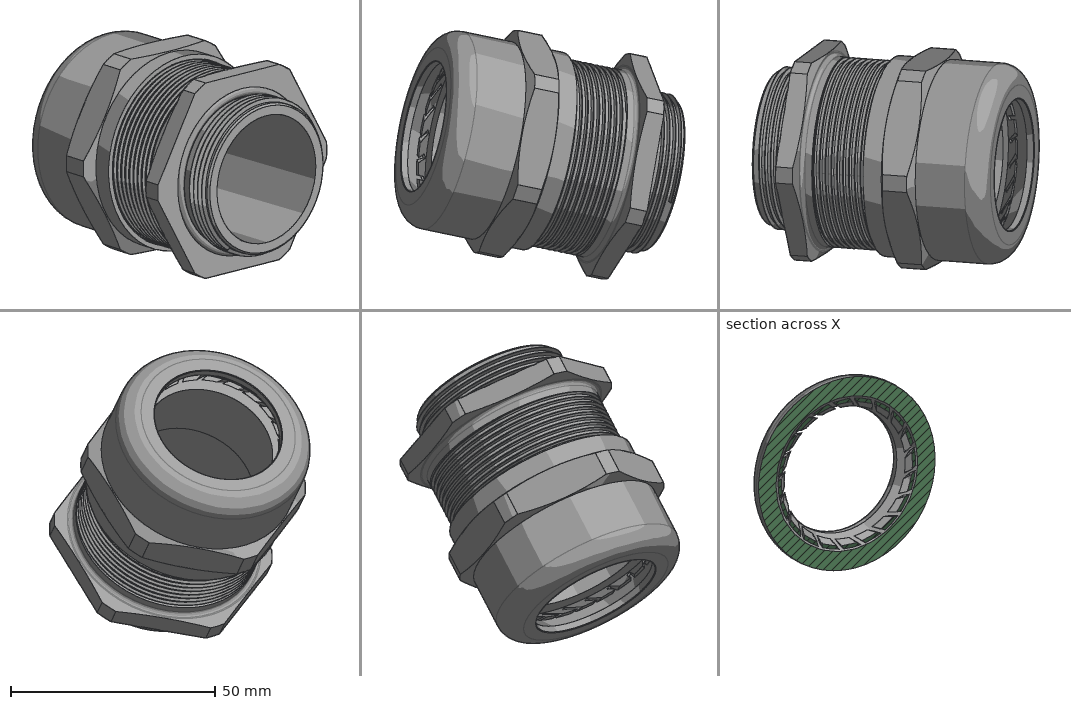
import cadquery as cq
import math


total_length = 61.5
bore_dia = 32.5

hex_across_flats = 50.0
hex_corner_dia = 55.55
hex_chamfer_start_dia = 49.45

cap_dia = 49.45
cap_length = 31.1
cap_front_round = 5.05
cap_hex_start = 17.7
cap_hex_end = 26.45
cap_hex_chamfer = 1.2

lip_end = 1.85
lip_edge_chamfer = 0.2
cap_cone_end = 8.0
cap_cavity_dia = 42.7
mouth_relief_dia = 47.05
mouth_relief_length = 1.7

spigot_start = 13.55
spigot_dia = 45.45
collar_start = 44.7
collar_dia = 46.8
collar_fillet = 1.0
flange_start = 47.5
flange_end = 52.65
flange_chamfer = 0.8
neck_dia = 38.15
end_chamfer = 0.5

ridge_base_width = 0.9
ridge_crest_width = 0.1
ridge_embed = 0.2
cap_thread_dia = 46.75
cap_thread_start = 30.25
cap_thread_length = 14.65
cap_thread_turns = 9.75
thread_pitch = cap_thread_length / cap_thread_turns
mounting_thread_dia = 40.0
mounting_thread_start = 54.45
mounting_thread_turns = 3.9

cage_dia = 42.45
cage_end = 24.6
cage_bore = 41.2
finger_front = 4.9
finger_tip_inner_dia = 33.8
finger_tip_outer_dia = 36.65
finger_root = 8.35
slot_count = 20
slot_width = 1.0
slot_skew = 45.0
slot_length = 6.15
seal_front = 8.0

o_ring_mean_dia = 40.35
o_ring_section_dia = o_ring_mean_dia - neck_dia
o_ring_x = 52.3


def revolve_about_x(outline):
    """Turn a closed (x, radius) outline around the X axis."""
    return outline.close().revolve(360, (0, 0, 0), (1, 0, 0))


def cylinder(start, end, diameter):
    return cq.Workplane("YZ").workplane(offset=start).circle(diameter / 2).extrude(end - start)


def hexagon(start, end, chamfer_length, chamfer_rear):
    """Hexagon with corners toward +Y and -Y, rounded off and cone-chamfered on its ends."""
    corner_to_corner = hex_across_flats / math.cos(math.radians(30))
    prism = cq.Workplane("YZ").workplane(offset=start).polygon(6, corner_to_corner).extrude(end - start)
    corner_radius = hex_corner_dia / 2
    chamfer_radius = hex_chamfer_start_dia / 2
    outline = (
        cq.Workplane("XY")
        .moveTo(start, 0)
        .lineTo(start, chamfer_radius)
        .lineTo(start + chamfer_length, corner_radius)
    )
    if chamfer_rear:
        outline = outline.lineTo(end - chamfer_length, corner_radius).lineTo(end, chamfer_radius)
    else:
        outline = outline.lineTo(end, corner_radius)
    return prism.intersect(revolve_about_x(outline.lineTo(end, 0)))


def thread_ridge(root_dia, crest_dia, start, turns):
    """Right-handed helical ridge that begins at the -Z side, its foot sunk into the root cylinder."""
    foot_radius = root_dia / 2 - ridge_embed
    crest_radius = crest_dia / 2
    helix = cq.Wire.makeHelix(thread_pitch, thread_pitch * turns, foot_radius)
    ridge = (
        cq.Workplane("XZ")
        .moveTo(foot_radius, -ridge_base_width / 2)
        .lineTo(crest_radius, -ridge_crest_width / 2)
        .lineTo(crest_radius, ridge_crest_width / 2)
        .lineTo(foot_radius, ridge_base_width / 2)
        .close()
        .sweep(cq.Workplane(helix), isFrenet=True)
    )
    return ridge.rotate((0, 0, 0), (0, 1, 0), 90).translate((start, 0, 0))


def make_cap_nut():
    dome = cylinder(0, cap_length, cap_dia).faces("<X").edges().fillet(cap_front_round)
    outside = dome.union(hexagon(cap_hex_start, cap_hex_end, cap_hex_chamfer, chamfer_rear=True))
    lip_radius = bore_dia / 2
    relief_start = cap_length - mouth_relief_length
    cavity = revolve_about_x(
        cq.Workplane("XY")
        .moveTo(0, 0)
        .lineTo(0, lip_radius + lip_edge_chamfer)
        .lineTo(lip_edge_chamfer, lip_radius)
        .lineTo(lip_end, lip_radius)
        .lineTo(cap_cone_end, cap_cavity_dia / 2)
        .lineTo(spigot_start, cap_cavity_dia / 2)
        .lineTo(spigot_start, spigot_dia / 2)
        .lineTo(relief_start, spigot_dia / 2)
        .lineTo(relief_start, mouth_relief_dia / 2)
        .lineTo(cap_length, mouth_relief_dia / 2)
        .lineTo(cap_length, 0)
    )
    return outside.cut(cavity)


def make_o_ring():
    """Ring around the neck, also the shape of its groove in the rear face of the flange."""
    ring = cq.Solid.makeTorus(
        o_ring_mean_dia / 2, o_ring_section_dia / 2, cq.Vector(o_ring_x, 0, 0), cq.Vector(1, 0, 0)
    )
    return cq.Workplane(ring)


def make_threaded_spigot():
    """Front of the body, whose ridge runs from inside the cap nut into the collar."""
    spigot = cylinder(spigot_start, flange_start, spigot_dia)
    return spigot.union(thread_ridge(spigot_dia, cap_thread_dia, cap_thread_start, cap_thread_turns))


def make_threaded_neck():
    """Rear of the body, which screws into the panel."""
    neck = cylinder(flange_start, total_length, neck_dia).faces(">X").edges().chamfer(end_chamfer)
    return neck.union(
        thread_ridge(neck_dia, mounting_thread_dia, mounting_thread_start, mounting_thread_turns)
    )


def make_collar():
    """Plain collar that flares in a concave round into the face of the hexagon."""
    collar_radius = collar_dia / 2
    flare_start = flange_start - collar_fillet
    flare_radius = collar_radius + collar_fillet
    flare_middle = collar_fillet * math.sin(math.radians(45))
    return revolve_about_x(
        cq.Workplane("XY")
        .moveTo(collar_start, 0)
        .lineTo(collar_start, collar_radius)
        .lineTo(flare_start, collar_radius)
        .threePointArc(
            (flare_start + flare_middle, flare_radius - flare_middle),
            (flange_start, flare_radius),
        )
        .lineTo(flange_end, flare_radius)
        .lineTo(flange_end, 0)
    )


def make_gland_body():
    body = make_threaded_spigot().union(make_collar())
    body = body.union(hexagon(flange_start, flange_end, flange_chamfer, chamfer_rear=False))
    body = body.union(make_threaded_neck())
    body = body.cut(cylinder(spigot_start, total_length, bore_dia))
    body = body.cut(cylinder(spigot_start, cage_end, cage_dia))
    return body.cut(make_o_ring())


def make_clamping_cage():
    """Sleeve around the seal whose front closes in as a cone of skewed fingers."""
    cage = revolve_about_x(
        cq.Workplane("XY")
        .moveTo(finger_front, finger_tip_inner_dia / 2)
        .lineTo(finger_front, finger_tip_outer_dia / 2)
        .lineTo(finger_root, cage_dia / 2)
        .lineTo(cage_end, cage_dia / 2)
        .lineTo(cage_end, cage_bore / 2)
        .lineTo(seal_front, cage_bore / 2)
    )
    slot_depth = seal_front - finger_front
    slot_radius = (finger_tip_inner_dia + finger_tip_outer_dia) / 4
    slot_step = 360 / slot_count
    slot = (
        cq.Workplane("XY")
        .box(slot_depth, slot_length, slot_width)
        .rotate((0, 0, 0), (1, 0, 0), slot_skew)
        .translate((finger_front + slot_depth / 2, slot_radius, 0))
    )
    for index in range(slot_count):
        cage = cage.cut(slot.rotate((0, 0, 0), (1, 0, 0), (index + 0.5) * slot_step))
    return cage


def make_seal():
    return cylinder(seal_front, cage_end, cage_bore).cut(cylinder(seal_front, cage_end, bore_dia))


cap_nut = make_cap_nut()
gland_body = make_gland_body()
clamping_cage = make_clamping_cage()
seal = make_seal()
o_ring = make_o_ring()

result = cq.Compound.makeCompound(
    [cap_nut.val(), gland_body.val(), clamping_cage.val(), seal.val(), o_ring.val()]
)